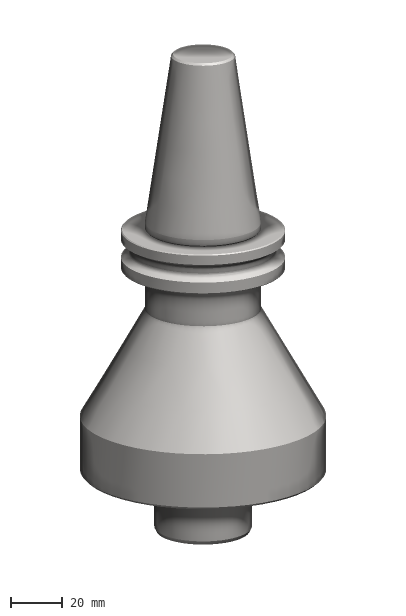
import cadquery as cq

total_height = 193.6
pilot_diameter = 37.8
body_diameter = 95.3
neck_diameter = 45.0
flange_diameter = 63.5
groove_diameter = 56.4
taper_base_diameter = 45.0
taper_tip_diameter = 24.8

body_bottom = 23.8
cone_bottom = 46.5
neck_bottom = 90.2
flange_bottom = 106.3
flange_top = 122.4
taper_bottom = 125.3

groove_center = 114.6
groove_floor_width = 3.1
groove_mouth_width = 7.2
groove_fillet = 1.0

pilot_chamfer_width = 0.8
pilot_chamfer_height = 1.5
body_chamfer = 1.0
flange_chamfer = 0.4
tip_chamfer = 0.8
collar_chamfer = 0.5

pilot_radius = pilot_diameter / 2
body_radius = body_diameter / 2
neck_radius = neck_diameter / 2
flange_radius = flange_diameter / 2
groove_radius = groove_diameter / 2
taper_base_radius = taper_base_diameter / 2
taper_tip_radius = taper_tip_diameter / 2

pilot_points = [
    (0, 0),
    (pilot_radius - pilot_chamfer_width, 0),
    (pilot_radius, pilot_chamfer_height),
    (pilot_radius, body_bottom),
]

body_points = [
    (body_radius - body_chamfer, body_bottom),
    (body_radius, body_bottom + body_chamfer),
    (body_radius, cone_bottom),
    (neck_radius, neck_bottom),
    (neck_radius, flange_bottom),
]

flange_points = [
    (flange_radius - flange_chamfer, flange_bottom),
    (flange_radius, flange_bottom + flange_chamfer),
    (flange_radius, groove_center - groove_mouth_width / 2),
    (groove_radius, groove_center - groove_floor_width / 2),
    (groove_radius, groove_center + groove_floor_width / 2),
    (flange_radius, groove_center + groove_mouth_width / 2),
    (flange_radius, flange_top - flange_chamfer),
    (flange_radius - flange_chamfer, flange_top),
]

shank_points = [
    (taper_base_radius - collar_chamfer, flange_top),
    (taper_base_radius, flange_top + collar_chamfer),
    (taper_base_radius, taper_bottom),
    (taper_tip_radius, total_height - tip_chamfer),
    (taper_tip_radius - tip_chamfer, total_height),
    (0, total_height),
]

profile = pilot_points + body_points + flange_points + shank_points
turned_blank = cq.Workplane("XZ").polyline(profile).close().revolve(360, (0, 0, 0), (0, 1, 0))

groove_corner_box = cq.selectors.BoxSelector(
    (-body_radius, -body_radius, groove_center - groove_floor_width),
    (body_radius, body_radius, groove_center + groove_floor_width),
)
result = turned_blank.edges("%CIRCLE").edges(groove_corner_box).fillet(groove_fillet)